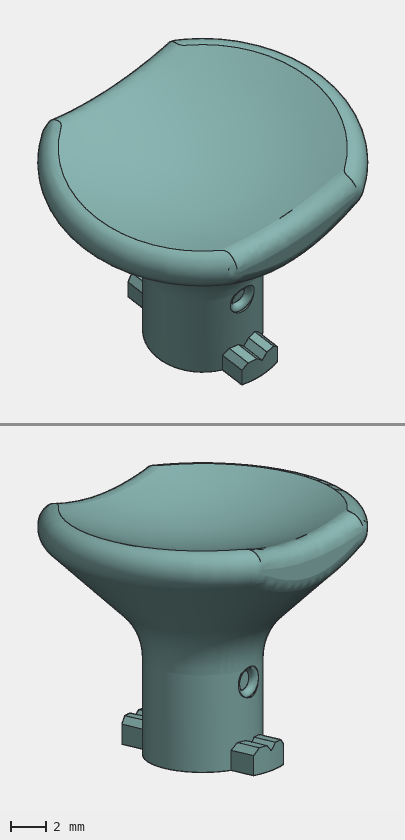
import cadquery as cq
import math

stem_radius = 3.45
stem_height = 5.8
neck_radius = 3.92
cone_angle = math.radians(47)

total_height = 14.79
head_radius = 9.42
rim_radius = 1.17
dish_radius = 20.35

width = 16.0
flat_round = 1.0

lug_reach = 5.0
lug_width = 2.77
lug_height = 1.6
tooth_chamfer = 0.4

hole_height = 5.01
hole_diameter = 1.17
hole_mouth_round = 0.34
hole_depth = 0.57


def make_body():
    """Turned knob: stem, concave neck, cone, rounded rim and spherical dish."""
    rise, run = math.cos(cone_angle), math.sin(cone_angle)
    half_rise, half_run = math.cos(cone_angle / 2), math.sin(cone_angle / 2)

    neck_center = stem_radius + neck_radius
    neck_mid = (neck_center - neck_radius * half_rise, stem_height + neck_radius * half_run)
    neck_end = (neck_center - neck_radius * rise, stem_height + neck_radius * run)

    rim_center = head_radius - rim_radius
    rim_height = total_height - rim_radius
    rim_start = (rim_center + rim_radius * rise, rim_height - rim_radius * run)
    rim_outer = (head_radius, rim_height)
    rim_end = (rim_center, total_height)

    dish_center_height = total_height + math.sqrt(dish_radius**2 - rim_center**2)
    dish_bottom = (0, dish_center_height - dish_radius)
    mid_radius = rim_center / 2
    dish_mid = (mid_radius, dish_center_height - math.sqrt(dish_radius**2 - mid_radius**2))

    return (
        cq.Workplane("YZ")
        .lineTo(stem_radius, 0)
        .lineTo(stem_radius, stem_height)
        .threePointArc(neck_mid, neck_end)
        .lineTo(*rim_start)
        .threePointArc(rim_outer, rim_end)
        .threePointArc(dish_mid, dish_bottom)
        .close()
        .revolve(360, (0, 0, 0), (0, 1, 0))
    )


def cut_flats(body):
    """Trim the head to its width and round the edges of both flats."""
    trim = cq.Workplane("XY").box(width, 2 * head_radius, total_height, centered=(True, True, False))
    return body.intersect(trim).faces("<X or >X").edges().fillet(flat_round)


def make_lugs():
    """Bar across the stem with two chamfered teeth, ended by a round outline."""
    half = lug_width / 2
    shoulder = lug_height - tooth_chamfer
    bar = (
        cq.Workplane("YZ")
        .moveTo(-half, 0)
        .lineTo(-half, shoulder)
        .lineTo(-half + tooth_chamfer, lug_height)
        .lineTo(-tooth_chamfer, lug_height)
        .lineTo(0, shoulder)
        .lineTo(tooth_chamfer, lug_height)
        .lineTo(half - tooth_chamfer, lug_height)
        .lineTo(half, shoulder)
        .lineTo(half, 0)
        .close()
        .extrude(lug_reach, both=True)
    )
    return bar.intersect(cq.Workplane("XY").circle(lug_reach).extrude(lug_height))


def make_hole(side):
    """Cutter for one blind hole; side is -1 or 1 along X."""
    hole_radius = hole_diameter / 2
    mouth_radius = hole_radius + hole_mouth_round
    mouth_x = math.sqrt(stem_radius**2 - mouth_radius**2)
    diagonal = hole_mouth_round * math.sqrt(0.5)
    profile = (
        cq.Workplane("XY")
        .moveTo(stem_radius - hole_depth, 0)
        .lineTo(stem_radius - hole_depth, hole_radius)
        .lineTo(mouth_x - hole_mouth_round, hole_radius)
        .threePointArc(
            (mouth_x - hole_mouth_round + diagonal, mouth_radius - diagonal),
            (mouth_x, mouth_radius),
        )
        .lineTo(stem_radius, mouth_radius)
        .lineTo(stem_radius, 0)
        .close()
        .revolve(360, (0, 0, 0), (1, 0, 0))
    )
    if side < 0:
        profile = profile.mirror("YZ")
    return profile.translate((0, 0, hole_height))


result = cut_flats(make_body()).union(make_lugs())
for side in (-1, 1):
    result = result.cut(make_hole(side))